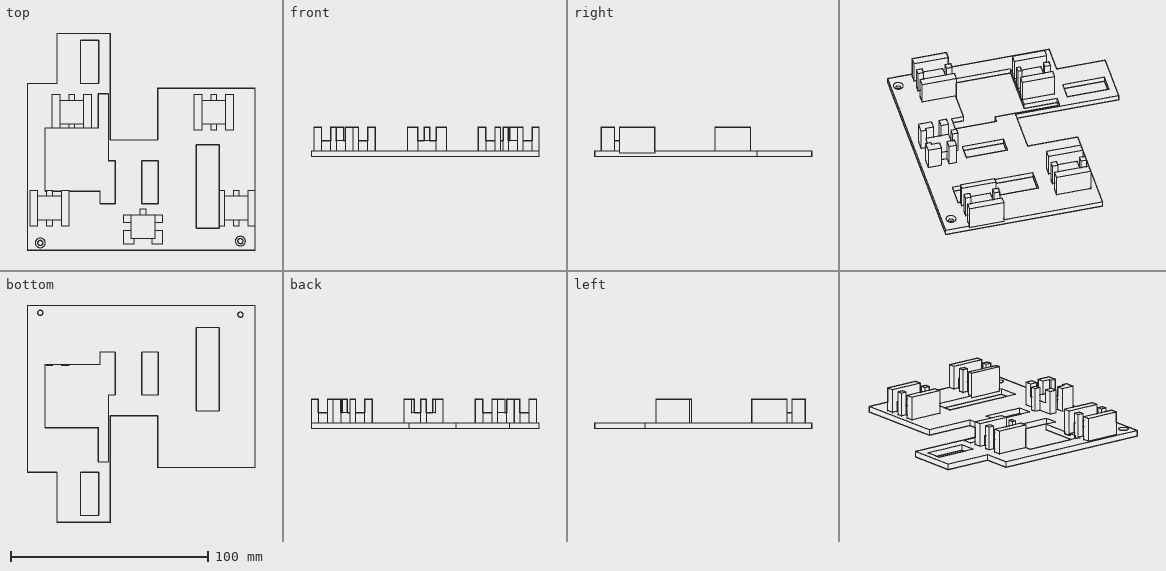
import cadquery as cq

PLATE_LENGTH = 115.5
PLATE_THICKNESS = 3.0
LEFT_EDGE_Y = 84.6
TAB_LEFT_X = 15.0
TAB_RIGHT_X = 42.0
TAB_TOP_Y = 110.0
NOTCH_BOTTOM_Y = 56.0
NOTCH_RIGHT_X = 66.0
RIGHT_EDGE_Y = 82.2

WINDOW_LEFT_X = 9.0
WINDOW_RIGHT_X = 41.1
WINDOW_BOTTOM_Y = 30.0
WINDOW_TOP_Y = 62.0
WINDOW_UPPER_LEFT_X = 36.0
WINDOW_UPPER_TOP_Y = 79.3
WINDOW_LOWER_LEFT_X = 37.0
WINDOW_LOWER_RIGHT_X = 44.5
LOWER_BOTTOM_Y = 23.8
LOWER_TOP_Y = 45.4

WIDE_SLOT_LEFT_X = 85.7
WIDE_SLOT_RIGHT_X = 97.2
WIDE_SLOT_BOTTOM_Y = 11.3
WIDE_SLOT_TOP_Y = 53.5
MIDDLE_SLOT_LEFT_X = 58.1
MIDDLE_SLOT_RIGHT_X = 66.3
TAB_SLOT_LEFT_X = 27.0
TAB_SLOT_RIGHT_X = 36.1
TAB_SLOT_TOP_Y = 106.5

SCREW_HOLE_CENTRES = [(6.6, 3.8), (108.0, 4.7)]
SCREW_HOLE_DIAMETER = 2.5
COUNTERSINK_DIAMETER = 5.0
COUNTERSINK_ANGLE = 90

HOLDER_TOP_Z = 15.0
SEAT_TOP_Z = 8.1
SEAT_SIZE = 12.0
WALL_THICKNESS = 3.9
POST_WIDTH = 2.9
END_OVERHANG = 3.0
HOLDER_WIDTH = SEAT_SIZE + 2 * WALL_THICKNESS
HOLDER_LENGTH = SEAT_SIZE + 2 * END_OVERHANG

RECESS_DEPTH = 1.0
RECESS_FLOOR_Z = PLATE_THICKNESS - RECESS_DEPTH
UPPER_HOLDER_Y = 70.0
LOWER_HOLDER_Y = 21.5
UPPER_LEFT_HOLDER_X = 22.5
UPPER_RIGHT_HOLDER_X = 94.5
LOWER_LEFT_HOLDER_X = 11.2
LOWER_RIGHT_HOLDER_X = 105.9

FIXED_HOLDER_X = 58.7
FIXED_HOLDER_Y = 12.0
FRONT_ARM_REACH = 4.2
FRONT_LIP_WIDTH = 5.3
FRONT_LIP_DEPTH = 2.8


def box(x_min, x_max, y_min, y_max, z_min, z_max):
    """Upright block between the given limits."""
    size = (x_max - x_min, y_max - y_min, z_max - z_min)
    return cq.Workplane("XY").box(*size, centered=False).translate((x_min, y_min, z_min))


def plate_opening(x_min, x_max, y_min, y_max):
    """Rectangular cutter through the full plate thickness."""
    return box(x_min, x_max, y_min, y_max, 0, PLATE_THICKNESS)


def make_plate():
    """Plain plate with its outline, window, slots and screw holes."""
    outline = [
        (0, 0),
        (PLATE_LENGTH, 0),
        (PLATE_LENGTH, RIGHT_EDGE_Y),
        (NOTCH_RIGHT_X, RIGHT_EDGE_Y),
        (NOTCH_RIGHT_X, NOTCH_BOTTOM_Y),
        (TAB_RIGHT_X, NOTCH_BOTTOM_Y),
        (TAB_RIGHT_X, TAB_TOP_Y),
        (TAB_LEFT_X, TAB_TOP_Y),
        (TAB_LEFT_X, LEFT_EDGE_Y),
        (0, LEFT_EDGE_Y),
    ]
    plate = cq.Workplane("XY").polyline(outline).close().extrude(PLATE_THICKNESS)

    openings = [
        (WINDOW_LEFT_X, WINDOW_RIGHT_X, WINDOW_BOTTOM_Y, WINDOW_TOP_Y),
        (WINDOW_UPPER_LEFT_X, WINDOW_RIGHT_X, WINDOW_BOTTOM_Y, WINDOW_UPPER_TOP_Y),
        (WINDOW_LOWER_LEFT_X, WINDOW_LOWER_RIGHT_X, LOWER_BOTTOM_Y, LOWER_TOP_Y),
        (WIDE_SLOT_LEFT_X, WIDE_SLOT_RIGHT_X, WIDE_SLOT_BOTTOM_Y, WIDE_SLOT_TOP_Y),
        (MIDDLE_SLOT_LEFT_X, MIDDLE_SLOT_RIGHT_X, LOWER_BOTTOM_Y, LOWER_TOP_Y),
        (TAB_SLOT_LEFT_X, TAB_SLOT_RIGHT_X, LEFT_EDGE_Y, TAB_SLOT_TOP_Y),
    ]
    for limits in openings:
        plate = plate.cut(plate_opening(*limits))

    return (
        plate.faces(">Z")
        .workplane(origin=(0, 0, 0))
        .pushPoints(SCREW_HOLE_CENTRES)
        .cskHole(SCREW_HOLE_DIAMETER, COUNTERSINK_DIAMETER, COUNTERSINK_ANGLE)
    )


def make_seat(base_z):
    """Square seat block centred on the origin."""
    half_seat = SEAT_SIZE / 2
    return box(-half_seat, half_seat, -half_seat, half_seat, base_z, SEAT_TOP_Z)


def make_rear_post(base_z):
    """Post against the rear face of the seat."""
    half_post = POST_WIDTH / 2
    half_seat = SEAT_SIZE / 2
    return box(-half_post, half_post, half_seat, half_seat + END_OVERHANG, base_z, HOLDER_TOP_Z)


def make_walled_holder(x, y):
    """Holder with a wall on each side of the seat and a post at each end."""
    right_wall = box(
        SEAT_SIZE / 2, HOLDER_WIDTH / 2, -HOLDER_LENGTH / 2, HOLDER_LENGTH / 2, RECESS_FLOOR_Z, HOLDER_TOP_Z
    )
    rear_post = make_rear_post(RECESS_FLOOR_Z)
    holder = make_seat(RECESS_FLOOR_Z)
    for upright in (right_wall, right_wall.mirror("YZ"), rear_post, rear_post.mirror("XZ")):
        holder = holder.union(upright)
    return holder.translate((x, y, 0))


def make_fixed_holder():
    """Holder with a rear post, two rear corner posts and two L-shaped front corner posts."""
    half_seat = SEAT_SIZE / 2
    half_width = HOLDER_WIDTH / 2
    rear_corner = box(
        half_seat, half_width, half_seat - WALL_THICKNESS, half_seat, PLATE_THICKNESS, HOLDER_TOP_Z
    )
    front_y = -half_seat - FRONT_LIP_DEPTH
    front_arm = box(
        half_seat, half_width, front_y, FRONT_ARM_REACH - half_seat, PLATE_THICKNESS, HOLDER_TOP_Z
    )
    front_lip = box(
        half_width - FRONT_LIP_WIDTH, half_width, front_y, -half_seat, PLATE_THICKNESS, HOLDER_TOP_Z
    )
    holder = make_seat(PLATE_THICKNESS).union(make_rear_post(PLATE_THICKNESS))
    for corner in (rear_corner, front_arm, front_lip):
        holder = holder.union(corner).union(corner.mirror("YZ"))
    return holder.translate((FIXED_HOLDER_X, FIXED_HOLDER_Y, 0))


window_trim = box(0, PLATE_LENGTH, 0, WINDOW_TOP_Y, 0, HOLDER_TOP_Z)
right_margin = box(WIDE_SLOT_RIGHT_X, PLATE_LENGTH, 0, RIGHT_EDGE_Y, 0, HOLDER_TOP_Z)

holders = [
    make_walled_holder(UPPER_LEFT_HOLDER_X, UPPER_HOLDER_Y).cut(window_trim),
    make_walled_holder(UPPER_RIGHT_HOLDER_X, UPPER_HOLDER_Y),
    make_walled_holder(LOWER_LEFT_HOLDER_X, LOWER_HOLDER_Y),
    make_walled_holder(LOWER_RIGHT_HOLDER_X, LOWER_HOLDER_Y).intersect(right_margin),
]

plate = make_plate().union(make_fixed_holder())
for holder in holders:
    plate = plate.cut(holder)

result = cq.Compound.makeCompound([plate.val(), *[holder.val() for holder in holders]])